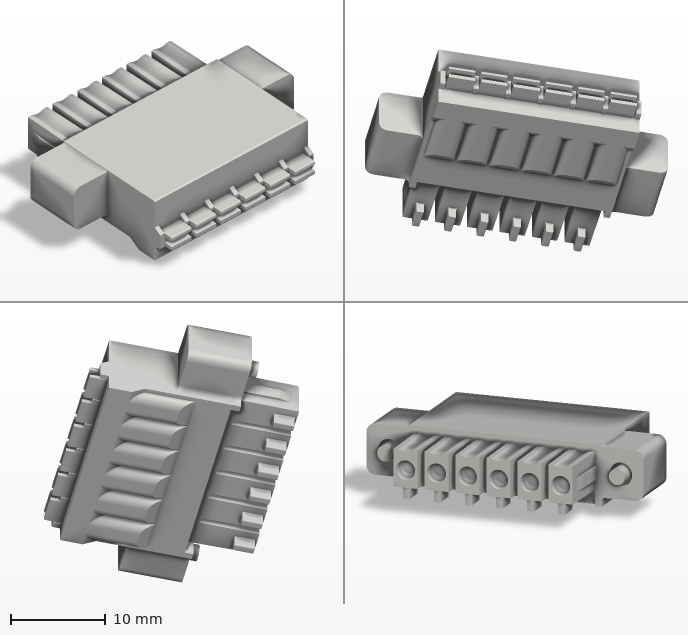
import cadquery as cq

POLES = 6
PITCH = 3.5
AXIS_Z = 4.75
pole_centers = [(i - (POLES - 1) / 2) * PITCH for i in range(POLES)]
end_poles = [pole_centers[0], pole_centers[-1]]

BODY_LENGTH = 14.37
BODY_WIDTH = 21.8
BODY_HEIGHT = 7.75
STEP_HEIGHT = 0.95
SLOPE_RUN = 1.47
STEP_SLOPE_START = 10.42
REAR_BEVEL_LENGTH = 0.22
REAR_BEVEL_DROP = 0.1
RECESS_DEPTH = 0.95
RECESS_WIDTH = 20.4

PAD_SLOPE_START = 4.88
PAD_WIDTH = 3.25
PAD_RADIUS = 1.05

FLANGE_SPAN = 31.3
FLANGE_LENGTH = 6.9
FLANGE_HEIGHT = 5.57
FLANGE_RADIUS = 0.95
FLANGE_ROOT_RADIUS = 0.5
SCREW_SPACING = 26.2
SCREW_DIAMETER = 1.78
SCREW_BORE_DIAMETER = 2.57
SCREW_BORE_DEPTH = 3.45
SCREW_PROTRUSION = 1.2

PLUG_LENGTH = 6.5
PLUG_BOTTOM = 2.82
PLUG_TOP = 6.98
PLUG_TIP_WIDTH = 2.72
PLUG_ROOT_WIDTH = 2.88
GROOVE_WIDTH = 1.63
GROOVE_DEPTH = 0.22
SOCKET_DIAMETER = 2.13
SOCKET_THROAT_DIAMETER = 1.97
SOCKET_THROAT_DEPTH = 0.75
SOCKET_END_DIAMETER = 1.25
SOCKET_DEPTH = 1.0

KEY_LENGTH = 2.22
KEY_SETBACK = 0.25
KEY_WIDTH = 0.8
KEY_HEIGHT = 1.3
KEY_FILLET = 0.15
KEY_FLARE = 0.1
KEY_FLARE_HEIGHT = 0.2

RAIL_LENGTH = 5.65
RAIL_RAMP = 1.35
RAIL_HEIGHT = 1.4
RAIL_OUTER_SPAN = 20.85

PARTITION_LENGTH = 0.9
PARTITION_WIDTH = 0.55
PARTITION_BOTTOM = 1.9
PARTITION_ROOT_TOP = 4.32
PARTITION_TIP_TOP = 3.75
PARTITION_EDGE = 0.1
PRONG_WIDTH = 2.85
PRONG_LENGTH = 1.9
PRONG_SPREAD = 1.65
PRONG_ROOT_THICKNESS = 0.53
PRONG_TIP_THICKNESS = 0.45
PRONG_TIP_RADIUS = 0.22
PRONG_MID_Z = 2.82


def side_prism(points, center_y, width):
    """Extrude an (X, Z) outline along Y, centred on center_y."""
    return cq.Workplane("XZ", origin=(0, center_y, 0)).polyline(points).close().extrude(width / 2, both=True)


def box_between(x_range, y_range, z_range):
    """Axis-aligned box given by its limits along each axis."""
    limits = (x_range, y_range, z_range)
    sizes = [high - low for low, high in limits]
    corner = tuple(low for low, high in limits)
    return cq.Workplane("XY", origin=corner).box(*sizes, centered=False)


def make_body():
    outline = [
        (0, STEP_HEIGHT),
        (STEP_SLOPE_START, STEP_HEIGHT),
        (STEP_SLOPE_START + SLOPE_RUN, 0),
        (BODY_LENGTH, 0),
        (BODY_LENGTH, BODY_HEIGHT - REAR_BEVEL_DROP),
        (BODY_LENGTH - REAR_BEVEL_LENGTH, BODY_HEIGHT),
        (0, BODY_HEIGHT),
    ]
    return side_prism(outline, 0, BODY_WIDTH)


def make_pad(center_y):
    """Rounded bar along X, cut to the same slope at the front as the body step behind it."""
    overlap = PAD_RADIUS
    height = STEP_HEIGHT + overlap
    end_x = STEP_SLOPE_START + SLOPE_RUN
    bar = (
        cq.Workplane("YZ")
        .center(center_y, height / 2)
        .rect(PAD_WIDTH, height)
        .extrude(end_x)
        .edges("|X and <Z")
        .fillet(PAD_RADIUS)
    )
    envelope = [
        (PAD_SLOPE_START, STEP_HEIGHT),
        (PAD_SLOPE_START + SLOPE_RUN, 0),
        (end_x, 0),
        (end_x, height),
        (PAD_SLOPE_START, height),
    ]
    return bar.intersect(side_prism(envelope, center_y, PAD_WIDTH))


def make_flange():
    return (
        cq.Workplane("YZ")
        .center(0, AXIS_Z)
        .rect(FLANGE_SPAN, FLANGE_HEIGHT)
        .extrude(FLANGE_LENGTH)
        .edges("|X")
        .fillet(FLANGE_RADIUS)
    )


def make_root_fillet(side, z_face, direction, radius):
    """Concave fillet along X between a flange face and the body side; direction is the outward Z."""
    wall_y = side * BODY_WIDTH / 2
    outer_y = wall_y + side * radius
    outer_z = z_face + direction * radius
    block = cq.Workplane("YZ").moveTo(wall_y, z_face).lineTo(outer_y, z_face).lineTo(outer_y, outer_z)
    block = block.lineTo(wall_y, outer_z).close().extrude(FLANGE_LENGTH)
    hollow = cq.Workplane("YZ").center(outer_y, outer_z).circle(radius).extrude(FLANGE_LENGTH)
    return block.cut(hollow)


def make_plug(center_y):
    """Drafted finger with a shallow round groove along its top and a stepped conical socket in its tip."""
    tip, root = PLUG_TIP_WIDTH / 2, PLUG_ROOT_WIDTH / 2
    plug = (
        cq.Workplane("XY", origin=(0, center_y, PLUG_BOTTOM))
        .polyline([(-PLUG_LENGTH, -tip), (0, -root), (0, root), (-PLUG_LENGTH, tip)])
        .close()
        .extrude(PLUG_TOP - PLUG_BOTTOM)
    )
    groove = (
        cq.Workplane("YZ", origin=(-PLUG_LENGTH, center_y, PLUG_TOP))
        .moveTo(-GROOVE_WIDTH / 2, 0)
        .threePointArc((0, -GROOVE_DEPTH), (GROOVE_WIDTH / 2, 0))
        .close()
        .extrude(PLUG_LENGTH)
    )
    throat_x = SOCKET_THROAT_DEPTH - PLUG_LENGTH
    end_x = SOCKET_DEPTH - PLUG_LENGTH
    socket = (
        cq.Workplane("XY")
        .polyline([
            (-PLUG_LENGTH, 0),
            (-PLUG_LENGTH, SOCKET_DIAMETER / 2),
            (throat_x, SOCKET_THROAT_DIAMETER / 2),
            (end_x, SOCKET_END_DIAMETER / 2),
            (end_x, 0),
        ])
        .close()
        .revolve(360, (0, 0, 0), (1, 0, 0))
        .translate((0, center_y, AXIS_Z))
    )
    return plug.cut(groove).cut(socket)


def make_key(center_y):
    """Short key below a plug, flared where it meets the plug and rounded at its lower edges."""
    half = KEY_WIDTH / 2
    root = half + KEY_FLARE
    key = (
        cq.Workplane("YZ", origin=(KEY_SETBACK - PLUG_LENGTH, center_y, PLUG_BOTTOM))
        .polyline([
            (-root, 0),
            (-half, -KEY_FLARE_HEIGHT),
            (-half, -KEY_HEIGHT),
            (half, -KEY_HEIGHT),
            (half, -KEY_FLARE_HEIGHT),
            (root, 0),
        ])
        .close()
        .extrude(KEY_LENGTH)
    )
    return key.edges("|X and <Z").fillet(KEY_FILLET)


def make_rail(center_y):
    """Guide rail that ramps out of the outer side of an end plug."""
    side = 1 if center_y > 0 else -1
    outer = side * RAIL_OUTER_SPAN / 2
    tip_y = center_y + side * PLUG_TIP_WIDTH / 2
    return (
        cq.Workplane("XY", origin=(0, 0, AXIS_Z - RAIL_HEIGHT / 2))
        .polyline([
            (0, center_y + side * SOCKET_DIAMETER / 2),
            (-RAIL_LENGTH, center_y + side * SOCKET_DIAMETER / 2),
            (-RAIL_LENGTH, tip_y),
            (RAIL_RAMP - RAIL_LENGTH, outer),
            (0, outer),
        ])
        .close()
        .extrude(RAIL_HEIGHT)
    )


def make_partition(center_y):
    tip_x = BODY_LENGTH + PARTITION_LENGTH
    outline = [
        (BODY_LENGTH, PARTITION_BOTTOM),
        (tip_x - PARTITION_EDGE, PARTITION_BOTTOM),
        (tip_x, PARTITION_BOTTOM + PARTITION_EDGE),
        (tip_x, PARTITION_TIP_TOP),
        (BODY_LENGTH, PARTITION_ROOT_TOP),
    ]
    return side_prism(outline, center_y, PARTITION_WIDTH)


def make_prong(center_y, direction):
    """Flat prong above (direction 1) or below (-1) the prong mid height, thinning towards its tip.

    The upper prong is rounded at its tip.
    """
    outer = PRONG_SPREAD / 2
    tip_x = BODY_LENGTH + PRONG_LENGTH
    profile = [
        (BODY_LENGTH, outer - PRONG_ROOT_THICKNESS),
        (tip_x, outer - PRONG_TIP_THICKNESS),
        (tip_x, outer),
        (BODY_LENGTH, outer),
    ]
    outline = [(x, PRONG_MID_Z + direction * height) for x, height in profile]
    prong = side_prism(outline, center_y, PRONG_WIDTH)
    if direction > 0:
        prong = prong.edges("|Y and >X and >Z").fillet(PRONG_TIP_RADIUS)
    return prong


result = make_body().union(make_flange())
flange_top = AXIS_Z + FLANGE_HEIGHT / 2
flange_bottom = AXIS_Z - FLANGE_HEIGHT / 2
for side in (-1, 1):
    result = result.union(make_root_fillet(side, flange_top, 1, BODY_HEIGHT - flange_top))
    result = result.union(make_root_fillet(side, flange_bottom, -1, FLANGE_ROOT_RADIUS))
for center_y in pole_centers:
    result = result.union(make_pad(center_y))

recess_y = (-RECESS_WIDTH / 2, RECESS_WIDTH / 2)
result = result.cut(box_between((0, RECESS_DEPTH), recess_y, (STEP_HEIGHT, PLUG_BOTTOM)))

screw_points = [(-SCREW_SPACING / 2, 0), (SCREW_SPACING / 2, 0)]
screws = cq.Workplane("YZ", origin=(0, 0, AXIS_Z)).pushPoints(screw_points)
bores = screws.circle(SCREW_BORE_DIAMETER / 2).extrude(SCREW_BORE_DEPTH)
shanks = screws.circle(SCREW_DIAMETER / 2).extrude(SCREW_PROTRUSION + SCREW_BORE_DEPTH)
result = result.cut(bores).union(shanks.translate((-SCREW_PROTRUSION, 0, 0)))

for center_y in end_poles:
    result = result.union(make_rail(center_y))
for center_y in pole_centers:
    result = result.union(make_plug(center_y)).union(make_key(center_y))

for center_y in pole_centers:
    for direction in (-1, 1):
        result = result.union(make_prong(center_y, direction))
inner_partitions = [center_y + PITCH / 2 for center_y in pole_centers[:-1]]
outer_partition = (BODY_WIDTH - PARTITION_WIDTH) / 2
for center_y in inner_partitions + [-outer_partition, outer_partition]:
    result = result.union(make_partition(center_y))